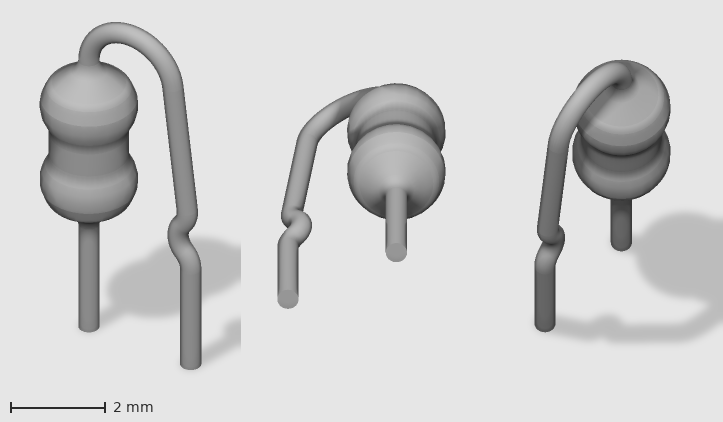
import cadquery as cq
import math


wire_diameter = 0.45
wire_radius = wire_diameter / 2
lead_pitch = 2.54
overall_height = 8.23
loop_radius = 1.05
lean = math.radians(6.65)
kink_radius = 0.54
kink_turn = math.radians(45)
kink_inward = kink_turn - lean

body_half_length = 2.135
body_top = overall_height - wire_radius - loop_radius
body_middle = body_top - body_half_length
body_bottom = body_middle - body_half_length
waist_radius = 1.7 / 2
waist_half_height = 0.285
waist_flare_radius, waist_flare_height = 0.932, 0.57
bulge_radius, bulge_height = 1.025, 1.14
shoulder_radius, shoulder_height = 0.905, 1.432
cone_base_radius, cone_base_height = 0.78, 1.55
cone_tip_radius, cone_tip_height = 0.37, 1.86


def make_body():
    """Revolve the upper half about Z, from the waist to the neck, and turn a copy upside down."""
    upper_half = (
        cq.Workplane("XZ")
        .lineTo(waist_radius, 0)
        .lineTo(waist_radius, waist_half_height)
        .tangentArcPoint((waist_flare_radius, waist_flare_height), relative=False)
        .tangentArcPoint((bulge_radius, bulge_height), relative=False)
        .tangentArcPoint((shoulder_radius, shoulder_height), relative=False)
        .tangentArcPoint((cone_base_radius, cone_base_height), relative=False)
        .lineTo(cone_tip_radius, cone_tip_height)
        .tangentArcPoint((wire_radius, body_half_length), relative=False)
        .lineTo(0, body_half_length)
        .close()
        .revolve(360, (0, 0), (0, 1))
    )
    lower_half = upper_half.rotate((0, 0, 0), (1, 0, 0), 180)
    return upper_half.union(lower_half).translate((0, 0, body_middle)).solids()


def make_lower_lead():
    """Straight wire from Z = 0 up to the lower neck of the body."""
    return cq.Workplane("XY").circle(wire_radius).extrude(body_bottom)


def bend_point(start, radius, start_angle, end_angle):
    """End of a bend in a downward wire; angles are from straight down, positive toward +X."""
    side = math.copysign(radius, end_angle - start_angle)
    return (
        start[0] + side * (math.cos(start_angle) - math.cos(end_angle)),
        start[1] - side * (math.sin(end_angle) - math.sin(start_angle)),
    )


def make_upper_lead():
    """Sweep the wire over the loop, down the leaning run, through the kink and down to Z = 0."""
    loop_start = (0, body_top)
    loop_top = (loop_radius, body_top + loop_radius)
    loop_end = (
        loop_radius * (1 + math.cos(lean)),
        body_top + loop_radius * math.sin(lean),
    )

    bend_angles = [lean, -kink_inward, kink_turn, 0]
    kink_shift = (0, 0)
    for start_angle, end_angle in zip(bend_angles, bend_angles[1:]):
        kink_shift = bend_point(kink_shift, kink_radius, start_angle, end_angle)
    lean_shift = lead_pitch - loop_end[0] - kink_shift[0]
    kink_start = (loop_end[0] + lean_shift, loop_end[1] - lean_shift / math.tan(lean))

    path = (
        cq.Workplane("XZ")
        .moveTo(*loop_start)
        .threePointArc(loop_top, loop_end)
        .lineTo(*kink_start)
    )
    position = kink_start
    for start_angle, end_angle in zip(bend_angles, bend_angles[1:]):
        middle_angle = (start_angle + end_angle) / 2
        middle = bend_point(position, kink_radius, start_angle, middle_angle)
        position = bend_point(position, kink_radius, start_angle, end_angle)
        path = path.threePointArc(middle, position)
    path = path.lineTo(lead_pitch, 0)

    return cq.Workplane("XY", origin=(0, 0, body_top)).circle(wire_radius).sweep(path)


body = make_body()
lower_lead = make_lower_lead()
upper_lead = make_upper_lead()

result = cq.Compound.makeCompound([body.val(), lower_lead.val(), upper_lead.val()])